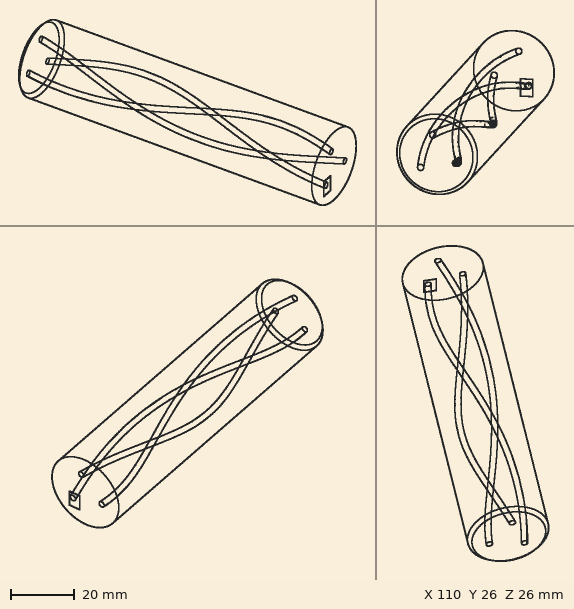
import cadquery as cq

total_length = 110.0
rod_diameter = 26.0
chamfer_size = 1.2

hole_count = 3
hole_diameter = 2.0
hole_circle_diameter = 13.2
first_hole_angle = 80.0
helix_pitch = 150.0

pad_height = 0.1
pad_width_y = 4.0
pad_width_z = 5.6
pad_center_y = -4.1
pad_center_z = -5.3

rod_length = total_length - pad_height
chamfered_end_x = -total_length / 2
plain_end_x = chamfered_end_x + rod_length


def make_rod():
    """Round rod with a chamfer around its -X end."""
    rod = cq.Workplane("YZ", origin=(chamfered_end_x, 0, 0)).circle(rod_diameter / 2).extrude(rod_length)
    return rod.faces("<X").edges().chamfer(chamfer_size)


def make_pad():
    """Thin rectangular pad standing on the +X end."""
    return (
        cq.Workplane("YZ", origin=(plain_end_x, pad_center_y, pad_center_z))
        .rect(pad_width_y, pad_width_z)
        .extrude(pad_height)
    )


def make_helical_hole(start_angle):
    """Round bore winding about the rod axis over the full length of the part."""
    twist_angle = 360 * total_length / helix_pitch
    return (
        cq.Workplane("YZ", origin=(chamfered_end_x, 0, 0))
        .transformed(rotate=(0, 0, start_angle))
        .moveTo(hole_circle_diameter / 2, 0)
        .circle(hole_diameter / 2)
        .twistExtrude(total_length, twist_angle)
    )


result = make_rod().union(make_pad())
for hole_index in range(hole_count):
    hole_angle = first_hole_angle + hole_index * 360 / hole_count
    result = result.cut(make_helical_hole(hole_angle))